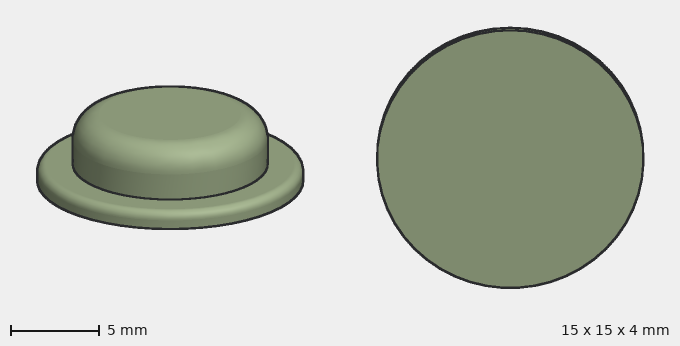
import cadquery as cq

flange_diameter = 15.0
flange_thickness = 1.0
flange_edge_radius = 0.5
button_diameter = 11.0
button_edge_radius = 1.5
total_height = 4.0


def rounded_disc(diameter, height, edge_radius):
    """Upright disc standing on the XY plane with its top rim rounded."""
    disc = cq.Workplane("XY").circle(diameter / 2).extrude(height)
    return disc.faces(">Z").edges().fillet(edge_radius)


flange = rounded_disc(flange_diameter, flange_thickness, flange_edge_radius)
button = rounded_disc(button_diameter, total_height, button_edge_radius)

result = flange.union(button)